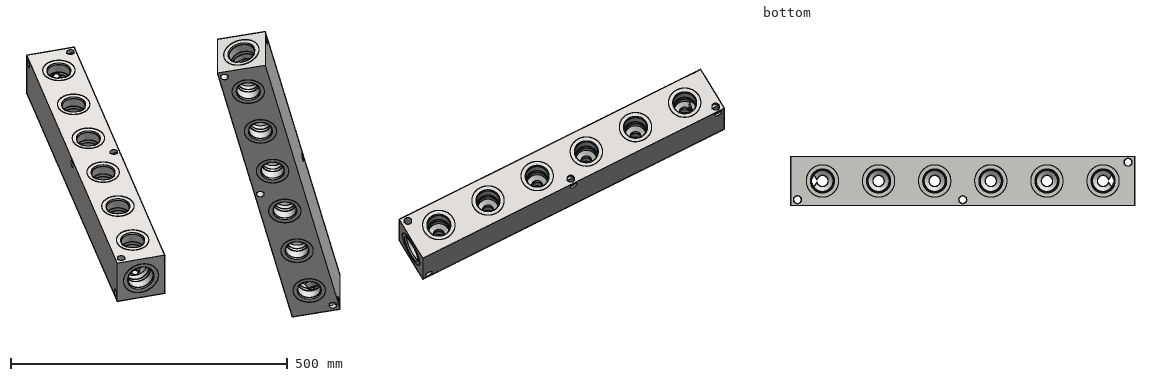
import cadquery as cq
import math

length = 622.0
side = 89.0

port_count = 6
port_pitch = 101.5
row_start = -port_pitch * (port_count - 1) / 2

cross_spotface = 58.5
cross_mouth = 43.5
cross_seal = 42.0
cross_thread = 41.0
cross_runout = 39.0
cross_drill = 38.0
cross_depth = 35.0
cross_passage = 20.0

end_spotface = 65.5
end_mouth = 50.0
end_seal = 48.0
end_thread = 46.5
end_runout = 45.5
end_drill = 43.5
end_depth = 37.5

spotface_depth = 0.5
seal_depth = 4.0
thread_depth = 20.5
runout_depth = 26.0
point_slope = math.tan(math.radians(31))

mount_diameter = 14.0
mount_end_offset = 12.5
mount_edge_offset = 10.5


def port_cutter(spotface, mouth, seal, thread, runout, drill, depth):
    """Stepped port tool sunk from z = 0 towards -Z, with a conical drill point below the given depth."""
    tip = depth + drill / 2 * point_slope
    outline = [
        (0, 0),
        (spotface / 2, 0),
        (spotface / 2, -spotface_depth),
        (mouth / 2, -spotface_depth),
        (seal / 2, -seal_depth),
        (thread / 2, -seal_depth),
        (thread / 2, -thread_depth),
        (runout / 2, -thread_depth),
        (runout / 2, -runout_depth),
        (drill / 2, -runout_depth),
        (drill / 2, -depth),
        (0, -tip),
    ]
    return cq.Workplane("XZ").polyline(outline).close().revolve(360, (0, 0, 0), (0, 1, 0))


result = cq.Workplane("XY").box(length, side, side)

top_tool = port_cutter(
    cross_spotface, cross_mouth, cross_seal, cross_thread, cross_runout, cross_drill, cross_depth
).translate((0, 0, side / 2))
bottom_tool = top_tool.mirror("XY")
passage_half_height = side / 2 - cross_depth
passage_tool = cq.Workplane("XY").circle(cross_passage / 2).extrude(passage_half_height, both=True)
for index in range(port_count):
    port_x = row_start + index * port_pitch
    for tool in (top_tool, bottom_tool, passage_tool):
        result = result.cut(tool.translate((port_x, 0, 0)))

end_tool = port_cutter(
    end_spotface, end_mouth, end_seal, end_thread, end_runout, end_drill, end_depth
)
left_port = end_tool.rotate((0, 0, 0), (0, 1, 0), -90).translate((-length / 2, 0, 0))
result = result.cut(left_port).cut(left_port.mirror("YZ"))

mount_x = length / 2 - mount_end_offset
mount_edge = side / 2 - mount_edge_offset
mount_points = [(-mount_x, mount_edge), (0, mount_edge), (mount_x, -mount_edge)]
for plane in ("XY", "XZ"):
    pins = cq.Workplane(plane).pushPoints(mount_points).circle(mount_diameter / 2)
    result = result.cut(pins.extrude(side, both=True))